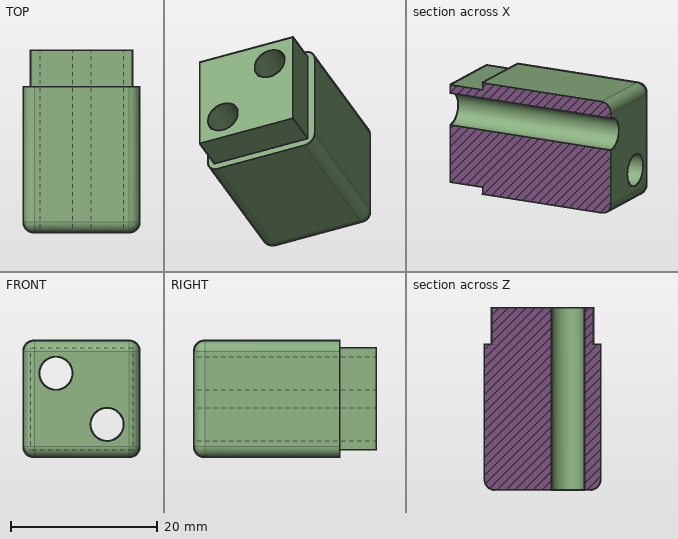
import cadquery as cq

total_length = 25.0
body_width = 16.0
tongue_length = 5.0
tongue_width = 14.0
edge_radius = 1.5
hole_diameter = 4.5
hole_offset = 3.5

body_length = total_length - tongue_length


def square_bar(width, start_y, length):
    """Square bar centred on the Y axis, running from start_y toward +Y."""
    return cq.Workplane("XY").box(width, length, width).translate((0, start_y + length / 2, 0))


body = square_bar(body_width, 0, body_length).edges("|Y or <Y").fillet(edge_radius)

tongue = square_bar(tongue_width, body_length, tongue_length)

hole_centers = [(-hole_offset, hole_offset), (hole_offset, -hole_offset)]
holes = (
    cq.Workplane("XZ")
    .pushPoints(hole_centers)
    .circle(hole_diameter / 2)
    .extrude(-total_length)
)

result = body.union(tongue).cut(holes)